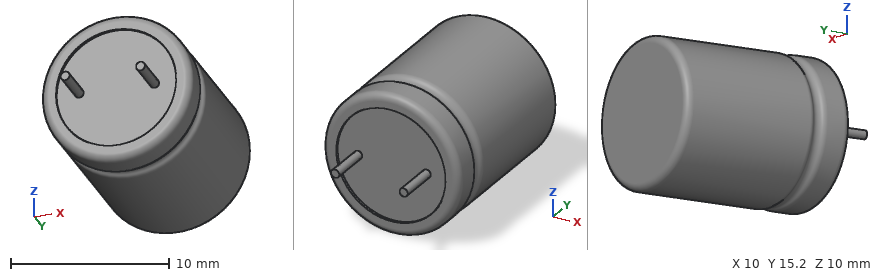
import cadquery as cq

can_diameter = 10.0
total_length = 15.21
lead_length = 2.7
lead_diameter = 0.6
lead_spacing = 5.0
edge_radius = 0.5
rim_width = 0.5
recess_depth = 0.2
groove_center = 2.43
groove_width = 1.3
groove_depth = 0.26

can_radius = can_diameter / 2
can_length = total_length - lead_length
recess_radius = can_radius - edge_radius - rim_width


def make_can():
    """Revolve the can, with its smooth S-sided crimp groove, about Y."""
    half_width = groove_width / 2
    flat_radius = can_radius - edge_radius
    inflection_radius = can_radius - groove_depth / 2
    groove_start = groove_center - half_width
    groove_end = groove_center + half_width
    profile = (
        cq.Workplane("XY")
        .lineTo(flat_radius, 0)
        .radiusArc((can_radius, edge_radius), -edge_radius)
        .lineTo(can_radius, groove_start)
        .tangentArcPoint((inflection_radius, groove_center - half_width / 2), relative=False)
        .tangentArcPoint((inflection_radius, groove_center + half_width / 2), relative=False)
        .tangentArcPoint((can_radius, groove_end), relative=False)
        .lineTo(can_radius, can_length - edge_radius)
        .radiusArc((flat_radius, can_length), -edge_radius)
        .lineTo(0, can_length)
        .close()
    )
    return profile.revolve(360, (0, 0, 0), (0, 1, 0))


def rod_along_y(x, radius, y_start, y_end):
    """Cylinder parallel to Y between two Y positions."""
    start = cq.Vector(x, y_start, 0)
    direction = cq.Vector(0, 1, 0)
    return cq.Workplane(cq.Solid.makeCylinder(radius, y_end - y_start, start, direction))


result = make_can().cut(rod_along_y(0, recess_radius, 0, recess_depth))

for side in (-1, 1):
    lead = rod_along_y(side * lead_spacing / 2, lead_diameter / 2, -lead_length, recess_depth)
    result = result.union(lead)